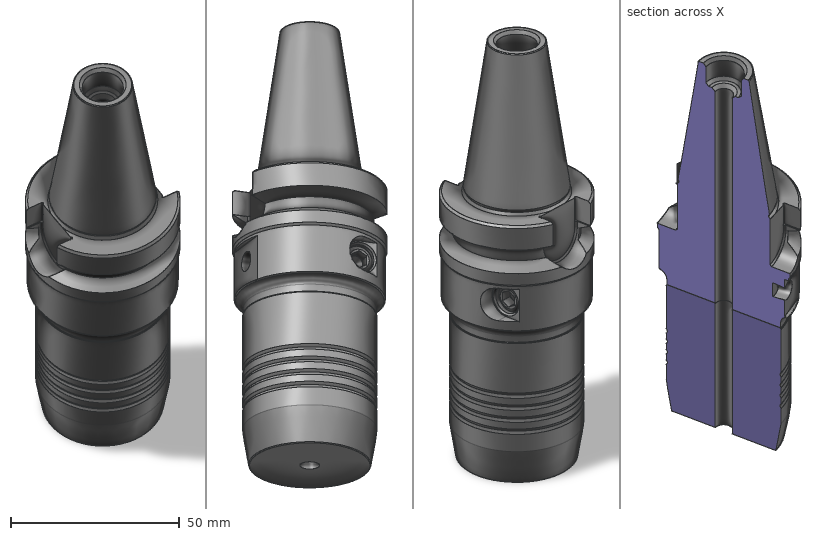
import cadquery as cq
import math

total_length = 138.4
sleeve_top = 47.7
band_bottom = 53.0
flange_bottom = 67.8
gripper_groove_start = 72.4
gripper_groove_floor_start = 74.7
gripper_groove_floor_end = 78.2
gripper_groove_end = 80.3
flange_top = 88.2
taper_start = 90.0

flange_radius = 23.0
gripper_groove_radius = 19.1
band_radius = 22.4
neck_radius = 19.8
taper_large_radius = 15.9
taper_small_radius = 8.9
taper_relief_radius = 15.5
taper_foot_radius = 16.3
through_hole_radius = 2.9

flange_bottom_chamfer = 0.7
flange_top_chamfer = 0.7
taper_relief_height = 1.0
taper_tip_chamfer = 0.3
band_bottom_chamfer = 0.4
neck_fillet = 2.8
neck_fillet_end_z = 50.0

bore_mouth_radius = 6.9
bore_mouth_depth = 1.1
pilot_radius = 6.1
pilot_end_depth = 7.2
pilot_cone_depth = 1.0
floor_radius = 5.1
hole_mouth_radius = 4.0
hole_mouth_cone_depth = hole_mouth_radius - through_hole_radius

slot_half_width = 8.2
slot_floor_y = 16.0
slot_floor_chamfer = 0.5
slot_round_center_z = 78.3
slot_upper_half_width = 8.6
slot_corner_relief_radius = 0.4

screw_y = -9.8
screw_z = 61.5
spot_face_radius = 5.4
spot_face_x = -16.6
screw_radius = 4.4
screw_mouth_chamfer = 0.5
screw_head_x = -15.5
screw_end_x = 0.0
screw_end_face_radius = 3.2
screw_head_cone_length = 0.8
socket_across_flats = 4.7
socket_depth = 3.5
socket_point_half_angle = 59.0

flat_distance = 21.0
flat_angle = 5.6
flat_top_z = 67.0
flat_hole_radius = 3.0
flat_hole_depth = 4.2

sleeve_radius = 19.9
sleeve_top_chamfer = 0.3
nose_taper_height = 11.3
nose_radius = 18.1
nose_bulge = 0.1
nose_edge_chamfer = 0.3
grip_groove_count = 4
grip_groove_pitch = 4.0
grip_groove_lowest_z = 18.0
grip_groove_width = 1.8
grip_groove_depth = 0.4


def make_housing_blank():
    """Taper, flange, band and neck, turned about Z."""
    fillet_center_radius = neck_radius + neck_fillet
    fillet_start_radius = band_radius - band_bottom_chamfer
    fillet_start_angle = math.acos((fillet_center_radius - fillet_start_radius) / neck_fillet)
    fillet_start_z = neck_fillet_end_z + neck_fillet * math.sin(fillet_start_angle)
    fillet_middle = (
        fillet_center_radius - neck_fillet * math.cos(fillet_start_angle / 2),
        neck_fillet_end_z + neck_fillet * math.sin(fillet_start_angle / 2),
    )
    return (
        cq.Workplane("XZ")
        .moveTo(0, sleeve_top)
        .lineTo(neck_radius, sleeve_top)
        .lineTo(neck_radius, neck_fillet_end_z)
        .threePointArc(fillet_middle, (fillet_start_radius, fillet_start_z))
        .lineTo(band_radius, band_bottom)
        .lineTo(band_radius, flange_bottom)
        .lineTo(flange_radius, flange_bottom + flange_bottom_chamfer)
        .lineTo(flange_radius, gripper_groove_start)
        .lineTo(gripper_groove_radius, gripper_groove_floor_start)
        .lineTo(gripper_groove_radius, gripper_groove_floor_end)
        .lineTo(flange_radius, gripper_groove_end)
        .lineTo(flange_radius, flange_top - flange_top_chamfer)
        .lineTo(flange_radius - flange_top_chamfer, flange_top)
        .lineTo(taper_foot_radius, flange_top)
        .lineTo(taper_relief_radius, taper_start - taper_relief_height)
        .lineTo(taper_large_radius, taper_start)
        .lineTo(taper_small_radius, total_length - taper_tip_chamfer)
        .lineTo(taper_small_radius - taper_tip_chamfer, total_length)
        .lineTo(0, total_length)
        .close()
        .revolve(360, (0, 0, 0), (0, 1, 0))
    )


def make_stepped_bore():
    """Stepped bore of the taper and the hole through the rest of the housing."""
    pilot_end = total_length - pilot_end_depth
    floor_z = pilot_end - pilot_cone_depth
    return (
        cq.Workplane("XZ")
        .moveTo(0, total_length)
        .lineTo(bore_mouth_radius, total_length)
        .lineTo(pilot_radius, total_length - bore_mouth_depth)
        .lineTo(pilot_radius, pilot_end)
        .lineTo(floor_radius, floor_z)
        .lineTo(hole_mouth_radius, floor_z)
        .lineTo(through_hole_radius, floor_z - hole_mouth_cone_depth)
        .lineTo(through_hole_radius, sleeve_top)
        .lineTo(0, sleeve_top)
        .close()
        .revolve(360, (0, 0, 0), (0, 1, 0))
    )


def make_drive_slot(side):
    """Round-ended drive slot, wider with relieved corners at the top; side is -1 for -Y and +1 for +Y."""
    slot_depth = flange_radius - slot_floor_y
    straight_height = flange_top - slot_round_center_z
    plane = cq.Plane(
        origin=(0, side * slot_floor_y, slot_round_center_z),
        xDir=(-side, 0, 0),
        normal=(0, side, 0),
    )
    slot = (
        cq.Workplane(plane)
        .moveTo(-slot_half_width, straight_height + slot_floor_chamfer)
        .lineTo(-slot_half_width, 0)
        .threePointArc((0, -slot_half_width), (slot_half_width, 0))
        .lineTo(slot_half_width, straight_height + slot_floor_chamfer)
        .close()
        .extrude(slot_depth)
        .faces("<Y" if side > 0 else ">Y")
        .chamfer(slot_floor_chamfer)
    )
    upper_height = flange_top - gripper_groove_end
    upper_slot = (
        cq.Workplane(plane)
        .center(0, gripper_groove_end + upper_height / 2 - slot_round_center_z)
        .rect(2 * slot_upper_half_width, upper_height)
        .extrude(slot_depth)
    )
    relief_x = slot_upper_half_width - slot_corner_relief_radius
    corner_reliefs = (
        cq.Workplane("XY", origin=(0, side * slot_floor_y, gripper_groove_end))
        .pushPoints([(-relief_x, 0), (relief_x, 0)])
        .circle(slot_corner_relief_radius)
        .extrude(upper_height)
    )
    return slot.union(upper_slot).union(corner_reliefs)


def screw_axis_workplane(x):
    """Workplane across the screw axis: local x runs along Y, local y along Z, normal along +X."""
    return cq.Workplane(cq.Plane(origin=(x, screw_y, screw_z), xDir=(0, 1, 0), normal=(1, 0, 0)))


def make_spot_face():
    """Spot face with a round +Y end, running out through the -Y side of the band."""
    depth = spot_face_x + flange_radius
    run_out = flange_radius
    return (
        screw_axis_workplane(-flange_radius)
        .circle(spot_face_radius)
        .extrude(depth)
        .union(
            screw_axis_workplane(-flange_radius)
            .center(-run_out / 2, 0)
            .rect(run_out, 2 * spot_face_radius)
            .extrude(depth)
        )
    )


def make_screw_hole():
    """Blind hole of the clamping screw, with a chamfered mouth."""
    return (
        cq.Workplane("XY", origin=(0, screw_y, screw_z))
        .moveTo(spot_face_x, 0)
        .lineTo(spot_face_x, screw_radius + screw_mouth_chamfer)
        .lineTo(spot_face_x + screw_mouth_chamfer, screw_radius)
        .lineTo(screw_end_x, screw_radius)
        .lineTo(screw_end_x, 0)
        .close()
        .revolve(360, (0, 0, 0), (1, 0, 0))
    )


def make_flat_cut():
    """Inclined flat on the +Y side of the band, with a blind hole square to it."""
    angle = math.radians(flat_angle)
    normal = (-math.sin(angle), math.cos(angle), 0)
    flat_height = flat_top_z - band_bottom
    plane = cq.Plane(
        origin=(flat_distance * normal[0], flat_distance * normal[1], screw_z),
        xDir=(0, 0, 1),
        normal=normal,
    )
    flat = (
        cq.Workplane(plane)
        .center(band_bottom + flat_height / 2 - screw_z, 0)
        .rect(flat_height, 2 * band_radius)
        .extrude(flange_radius - flat_distance)
    )
    hole = cq.Workplane(plane).circle(flat_hole_radius).extrude(-flat_hole_depth)
    return flat.union(hole)


def make_housing():
    """Tool holder with the taper, flange and band."""
    body = make_housing_blank().cut(make_stepped_bore())
    for side in (-1, 1):
        body = body.cut(make_drive_slot(side))
    body = body.cut(make_spot_face())
    body = body.cut(make_screw_hole())
    return body.cut(make_flat_cut())


def make_clamping_screw():
    """Clamping screw along X with a chamfered head and a hexagon socket that ends in a drill point."""
    socket_corner_diameter = socket_across_flats / math.cos(math.radians(30))
    socket_radius = socket_across_flats / 2
    point_depth = socket_radius / math.tan(math.radians(socket_point_half_angle))
    socket_floor_x = screw_head_x + socket_depth
    shank = (
        cq.Workplane("XY", origin=(0, screw_y, screw_z))
        .moveTo(screw_head_x, 0)
        .lineTo(screw_head_x, screw_end_face_radius)
        .lineTo(screw_head_x + screw_head_cone_length, screw_radius)
        .lineTo(screw_end_x, screw_radius)
        .lineTo(screw_end_x, 0)
        .close()
        .revolve(360, (0, 0, 0), (1, 0, 0))
    )
    socket = (
        screw_axis_workplane(screw_head_x)
        .polygon(6, socket_corner_diameter)
        .extrude(socket_depth)
        .rotate((0, screw_y, screw_z), (1, screw_y, screw_z), 30)
    )
    drill_point = cq.Workplane(
        cq.Solid.makeCone(
            socket_radius,
            0,
            point_depth,
            pnt=cq.Vector(socket_floor_x, screw_y, screw_z),
            dir=cq.Vector(1, 0, 0),
        )
    )
    return shank.cut(socket).cut(drill_point)


def make_grip_groove(z):
    """V-shaped ring groove around the sleeve, centered at height z."""
    half_width = grip_groove_width / 2
    return (
        cq.Workplane("XZ")
        .moveTo(sleeve_radius, z - half_width)
        .lineTo(sleeve_radius - grip_groove_depth, z)
        .lineTo(sleeve_radius, z + half_width)
        .close()
        .revolve(360, (0, 0, 0), (0, 1, 0))
    )


def make_sleeve():
    """Grip sleeve with a bulged, tapered nose and ring grooves."""
    nose_middle = (
        (sleeve_radius + nose_radius) / 2 + nose_bulge,
        (nose_taper_height + nose_edge_chamfer) / 2,
    )
    body = (
        cq.Workplane("XZ")
        .moveTo(through_hole_radius, 0)
        .lineTo(nose_radius - nose_edge_chamfer, 0)
        .lineTo(nose_radius, nose_edge_chamfer)
        .threePointArc(nose_middle, (sleeve_radius, nose_taper_height))
        .lineTo(sleeve_radius, sleeve_top - sleeve_top_chamfer)
        .lineTo(sleeve_radius - sleeve_top_chamfer, sleeve_top)
        .lineTo(through_hole_radius, sleeve_top)
        .close()
        .revolve(360, (0, 0, 0), (0, 1, 0))
    )
    for index in range(grip_groove_count):
        body = body.cut(make_grip_groove(grip_groove_lowest_z + index * grip_groove_pitch))
    return body


housing = make_housing()
sleeve = make_sleeve()
clamping_screw = make_clamping_screw()

result = cq.Compound.makeCompound([housing.val(), sleeve.val(), clamping_screw.val()])